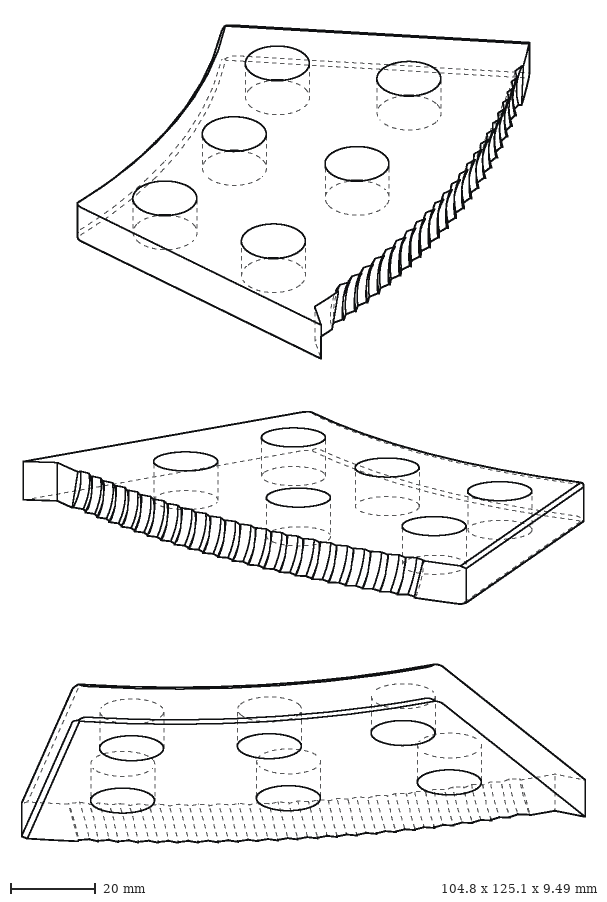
import cadquery as cq
import math

thickness = 9.49
sector_angle = 36.0
inner_radius = 140.0
outer_radius = 212.85
corner_radius = 3.0

spur_tip_x = 219.27
spur_height = 4.9

bore_chamfer = 0.8
end_chamfer_width = 1.4
end_chamfer_depth = 0.5

hole_diameter = 15.1
hole_ring_radii = (155.6, 187.35)
holes_per_ring = 3

groove_count = 23
first_groove_angle = 4.34
last_groove_angle = 32.34
tooth_depth = 0.9
face_root_radius = 211.3
worm_radius = 15.0

mid_plane = thickness / 2
groove_step = (last_groove_angle - first_groove_angle) / (groove_count - 1)
half_pitch = outer_radius * math.radians(groove_step) / 2
groove_lean = math.degrees(math.atan(half_pitch / thickness))


def polar(radius, angle):
    a = math.radians(angle)
    return (radius * math.cos(a), radius * math.sin(a))


def sector_plate():
    spur_root_angle = math.degrees(math.asin(spur_height / outer_radius))
    plate = (
        cq.Workplane("XY")
        .moveTo(inner_radius, 0)
        .lineTo(spur_tip_x, 0)
        .lineTo(*polar(outer_radius, spur_root_angle))
        .threePointArc(
            polar(outer_radius, (spur_root_angle + sector_angle) / 2),
            polar(outer_radius, sector_angle),
        )
        .lineTo(*polar(inner_radius, sector_angle))
        .threePointArc(polar(inner_radius, sector_angle / 2), (inner_radius, 0))
        .close()
        .extrude(thickness)
    )
    inner_corners = cq.selectors.BoxSelector(
        (0, -corner_radius, 0), (inner_radius + corner_radius, outer_radius, thickness)
    )
    return plate.edges("|Z").edges(inner_corners).fillet(corner_radius)


def bore_chamfer_cutters():
    """Conical rings that bevel the concave edge on both faces."""
    ring = (
        cq.Workplane("XZ")
        .polyline([
            (inner_radius - bore_chamfer, 0),
            (inner_radius + bore_chamfer, 0),
            (inner_radius - bore_chamfer, 2 * bore_chamfer),
        ])
        .close()
        .revolve(360, (0, 0, 0), (0, 1, 0))
    )
    return ring.union(ring.mirror("XY").translate((0, 0, thickness)))


def end_chamfer_cutters():
    """Wedges that bevel both long edges of the slanted end."""
    wedge = (
        cq.Workplane("YZ")
        .polyline([
            (-end_chamfer_width, 0),
            (end_chamfer_width, 0),
            (end_chamfer_width, 2 * end_chamfer_depth),
        ])
        .close()
        .extrude(spur_tip_x)
    )
    pair = wedge.union(wedge.mirror("XY").translate((0, 0, thickness)))
    return pair.rotate((0, 0, 0), (0, 0, 1), sector_angle)


def hole_cutters():
    spacing = sector_angle / holes_per_ring
    centres = [
        polar(radius, (i + 0.5) * spacing)
        for radius in hole_ring_radii
        for i in range(holes_per_ring)
    ]
    return cq.Workplane("XY").pushPoints(centres).circle(hole_diameter / 2).extrude(thickness)


def groove_cutter():
    """Sharp-rimmed disc that cuts one groove, placed at angle zero."""
    throat_rise = worm_radius - math.sqrt(worm_radius**2 - mid_plane**2)
    root_radius = face_root_radius - throat_rise
    axis_radius = root_radius + worm_radius
    shoulder_radius = root_radius + tooth_depth
    disc = (
        cq.Workplane("XY")
        .polyline([
            (axis_radius, -half_pitch),
            (shoulder_radius, -half_pitch),
            (root_radius, 0),
            (shoulder_radius, half_pitch),
            (axis_radius, half_pitch),
        ])
        .close()
        .revolve(360, (axis_radius, 0, 0), (axis_radius, 1, 0))
    )
    return disc.rotate((0, 0, 0), (1, 0, 0), -groove_lean).translate((0, 0, mid_plane))


def cut_teeth(plate):
    cutter = groove_cutter()
    for i in range(groove_count):
        angle = first_groove_angle + (i - 0.25) * groove_step
        plate = plate.cut(cutter.rotate((0, 0, 0), (0, 0, 1), angle))
    return plate


result = sector_plate()
result = result.cut(bore_chamfer_cutters())
result = result.cut(end_chamfer_cutters())
result = result.cut(hole_cutters())
result = cut_teeth(result)